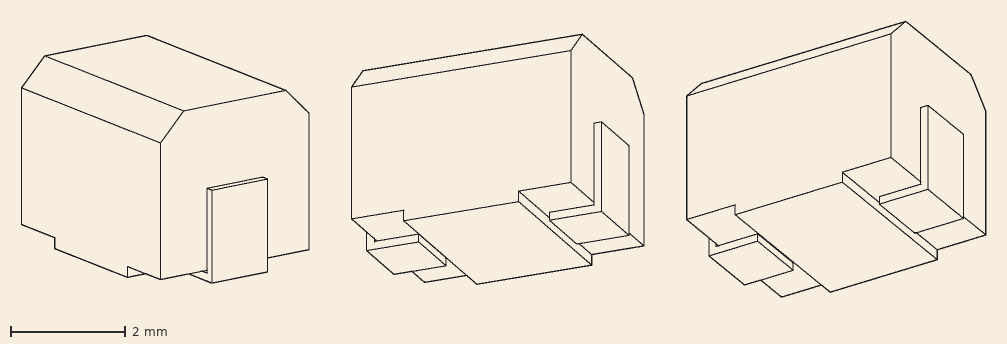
import cadquery as cq

housing_length = 4.2
housing_width = 3.2
overall_height = 3.2
chamfer_size = 0.5
underside_height = 0.2
foot_length = 2.2

terminal_thickness = 0.15
terminal_width = 1.2
terminal_height = 1.7
terminal_foot_length = 1.0


def make_housing():
    """Block with two chamfered long top edges and a full-width central foot."""
    block = (
        cq.Workplane("XY")
        .workplane(offset=underside_height)
        .rect(housing_length, housing_width)
        .extrude(overall_height - underside_height)
        .edges("|X and >Z")
        .chamfer(chamfer_size)
    )
    foot = (
        cq.Workplane("XY")
        .rect(foot_length, housing_width)
        .extrude(underside_height)
    )
    return block.union(foot)


def make_terminal(side):
    """L-shaped terminal on the -X (side = -1) or +X (side = 1) end face."""
    inner_x = side * housing_length / 2
    outer_x = inner_x + side * terminal_thickness
    foot_end_x = outer_x - side * terminal_foot_length
    profile = [
        (outer_x, 0),
        (outer_x, terminal_height),
        (inner_x, terminal_height),
        (inner_x, terminal_thickness),
        (foot_end_x, terminal_thickness),
        (foot_end_x, 0),
    ]
    return (
        cq.Workplane("XZ")
        .polyline(profile)
        .close()
        .extrude(terminal_width / 2, both=True)
    )


housing = make_housing()
terminals = [make_terminal(side) for side in (-1, 1)]

result = cq.Compound.makeCompound(
    [housing.val(), *[terminal.val() for terminal in terminals]]
)